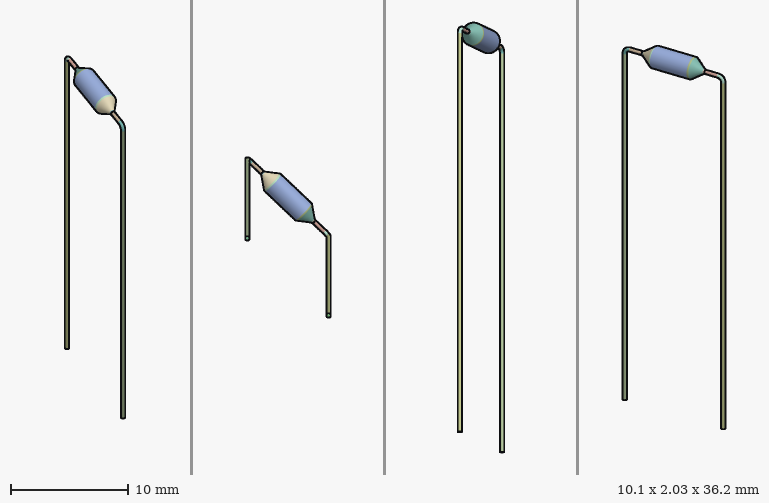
import cadquery as cq
import math

overall_width = 10.05
overall_height = 36.2
body_diameter = 2.03
shoulder_spacing = 3.75
root_spacing = 6.0
shoulder_radius = 0.25
root_radius = 0.25
wire_diameter = 0.4
bend_radius = 0.5

body_radius = body_diameter / 2
wire_radius = wire_diameter / 2
shoulder_x = shoulder_spacing / 2
root_x = root_spacing / 2
cone_angle = math.atan2(body_radius - wire_radius, root_x - shoulder_x)
shoulder_setback = shoulder_radius * math.tan(cone_angle / 2)
root_setback = root_radius * math.tan(cone_angle / 2)
body_end_x = root_x + root_setback
leg_x = overall_width / 2 - wire_radius
bend_start_x = leg_x - bend_radius
leg_tip_z = body_radius - overall_height


def make_body():
    """Cylinder with rounded conical ends that taper smoothly to the wire diameter, along X."""
    cylinder_end_x = shoulder_x - shoulder_setback
    cone_start_x = shoulder_x + shoulder_setback * math.cos(cone_angle)
    cone_start_radius = body_radius - shoulder_setback * math.sin(cone_angle)
    cone_end_x = root_x - root_setback * math.cos(cone_angle)
    cone_end_radius = wire_radius + root_setback * math.sin(cone_angle)
    return (
        cq.Workplane("XZ")
        .moveTo(-body_end_x, 0)
        .lineTo(-body_end_x, wire_radius)
        .radiusArc((-cone_end_x, cone_end_radius), -root_radius)
        .lineTo(-cone_start_x, cone_start_radius)
        .radiusArc((-cylinder_end_x, body_radius), shoulder_radius)
        .lineTo(cylinder_end_x, body_radius)
        .radiusArc((cone_start_x, cone_start_radius), shoulder_radius)
        .lineTo(cone_end_x, cone_end_radius)
        .radiusArc((body_end_x, wire_radius), -root_radius)
        .lineTo(body_end_x, 0)
        .close()
        .revolve(360, (0, 0, 0), (1, 0, 0))
    )


def make_lead(side):
    """Round wire from a body end face, bent down into a long leg; side is -1 or +1 in X."""
    centreline = (
        cq.Workplane("XZ")
        .moveTo(side * body_end_x, 0)
        .lineTo(side * bend_start_x, 0)
        .tangentArcPoint((side * leg_x, -bend_radius), relative=False)
        .lineTo(side * leg_x, leg_tip_z)
    )
    return (
        cq.Workplane("YZ", origin=(side * body_end_x, 0, 0))
        .circle(wire_radius)
        .sweep(centreline)
    )


body = make_body()
leads = [make_lead(side) for side in (-1, 1)]

result = cq.Compound.makeCompound([body.val(), *[lead.val() for lead in leads]])